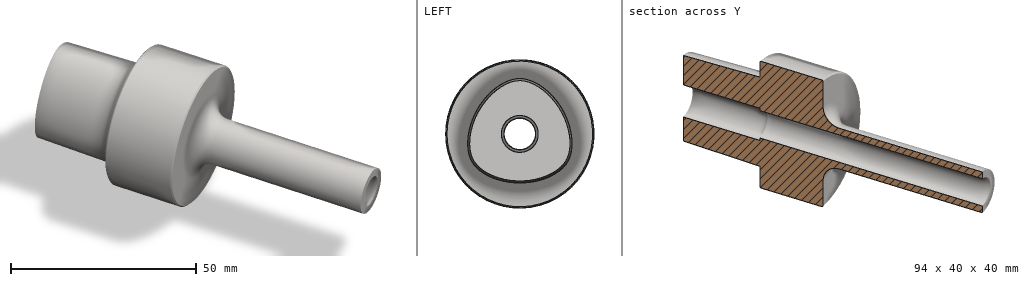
import cadquery as cq
import math

total_length = 94.0
taper_length = 24.0
flange_length = 20.0
start_x = -total_length / 2
flange_x = start_x + taper_length
shank_x = flange_x + flange_length
end_x = total_length / 2

flange_radius = 20.0
flange_chamfer = 0.4
shank_radius = 6.5
neck_fillet = 5.0

small_mean_radius = 13.5
large_mean_radius = 14.1
lobe_height = 0.8
lobes = 3
points_per_lobe = 12

bore_radius = 4.2
counterbore_radius = 5.0
counterbore_depth = taper_length


def lobed_point(angle, mean_radius):
    """Point of a constant-width curve whose first lobe points up (+Z)."""
    support = mean_radius + lobe_height * math.cos(lobes * angle)
    slope = -lobes * lobe_height * math.sin(lobes * angle)
    up = support * math.cos(angle) - slope * math.sin(angle)
    across = support * math.sin(angle) + slope * math.cos(angle)
    return across, up


def lobed_section(x, mean_radius):
    """Closed lobed wire in the YZ plane at the given X."""
    count = lobes * points_per_lobe
    points = [lobed_point(2 * math.pi * i / count, mean_radius) for i in range(count)]
    outline = cq.Workplane("YZ", origin=(x, 0, 0)).spline(points, periodic=True).close()
    return outline.val()


def cylinder(x, radius, length):
    """Cylinder along +X starting at the given X."""
    return cq.Workplane("YZ", origin=(x, 0, 0)).circle(radius).extrude(length)


def neck_and_shank():
    """Shank with a concave fillet where it leaves the flange."""
    arc_offset = neck_fillet * (1 - math.sqrt(0.5))
    profile = (
        cq.Workplane("XY")
        .moveTo(shank_x, 0)
        .lineTo(shank_x, shank_radius + neck_fillet)
        .threePointArc(
            (shank_x + arc_offset, shank_radius + arc_offset),
            (shank_x + neck_fillet, shank_radius),
        )
        .lineTo(end_x, shank_radius)
        .lineTo(end_x, 0)
        .close()
    )
    return profile.revolve(360, (0, 0, 0), (1, 0, 0))


taper = cq.Workplane(
    cq.Solid.makeLoft(
        [lobed_section(start_x, small_mean_radius), lobed_section(flange_x, large_mean_radius)],
        True,
    )
)
flange = cylinder(flange_x, flange_radius, flange_length).edges().chamfer(flange_chamfer)
body = flange.union(taper).union(neck_and_shank())

bore = cylinder(start_x, bore_radius, total_length)
counterbore = cylinder(start_x, counterbore_radius, counterbore_depth)
result = body.cut(bore).cut(counterbore)